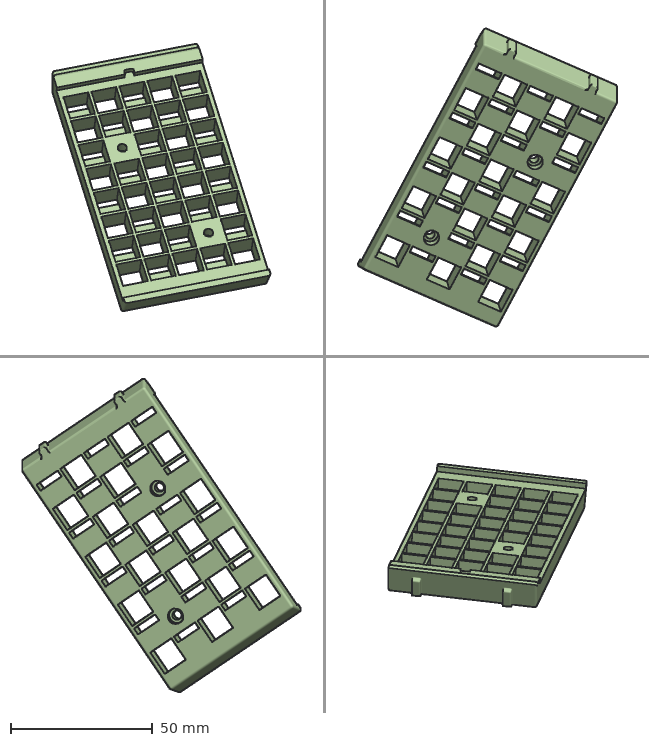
import cadquery as cq
import math

tilt = 15.0
width = 53.4
overall_length = 97.5
deck_height = 7.8
lip_height = 2.0
edge_radius = 1.0
front_lip_end = 4.2
rear_lip_thickness = 1.95

ridge_flat = 1.95
ridge_root_radius = 1.2
ridge_end_length = 2.4

notch_width = 3.5
notch_depth = 1.9
notch_radius = 0.8

columns = 8
rows = 5
column_span = 71.4
row_pitch = 10.2
cell = 9.1
first_cell = 11.9
floor_thickness = 1.0
slit = 2.4
screw_cells = [(2, 3), (6, 1)]

hole_diameter = 3.2
counterbore_diameter = 5.5
counterbore_depth = 3.4

hook_reach = 1.95
hook_width = 3.0
hook_spacing = 32.6
hook_drop = 2.9
hook_radius = 0.6
hook_root_radius = 0.3
hook_embed = 1.5

cos_tilt = math.cos(math.radians(tilt))
sin_tilt = math.sin(math.radians(tilt))
tan_tilt = math.tan(math.radians(tilt))
column_pitch = column_span / (columns - 1)
top_height = deck_height + lip_height
ridge_top = top_height / cos_tilt
ridge_height = ridge_flat * sin_tilt
root_angle = math.acos(1 - ridge_height / ridge_root_radius)
root_end = ridge_flat * cos_tilt - ridge_top * sin_tilt + ridge_root_radius * math.sin(root_angle)
hook_top = ridge_top - hook_drop
rear_tip = (overall_length - hook_reach - top_height * sin_tilt) / cos_tilt
rear_foot = rear_tip - top_height * tan_tilt
rear_lip_start = rear_tip - rear_lip_thickness - lip_height * tan_tilt


def on_slope(along, height):
    """XZ point given along the sloping underside and square to it."""
    return (along * cos_tilt + height * sin_tilt, height * cos_tilt - along * sin_tilt)


def tilted(shape):
    """Turn a shape built on a level underside into the slope of the tray."""
    return shape.rotate((0, 0, 0), (0, 1, 0), tilt)


def level_box(length, depth, along, across, bottom, top):
    """Box standing on the slope, centred on (along, across)."""
    box = cq.Workplane("XY").box(length, depth, top - bottom, centered=(True, True, False))
    return tilted(box.translate((along, across, bottom)))


def root_point(angle):
    """Point on the hollow behind the ridge, by angle from where it runs into the lip."""
    return on_slope(
        root_end - ridge_root_radius * math.sin(angle),
        top_height + ridge_root_radius * (1 - math.cos(angle)),
    )


def make_tray():
    outline = (
        cq.Workplane("XZ")
        .lineTo(0, ridge_top)
        .lineTo(ridge_flat, ridge_top)
        .threePointArc(root_point(root_angle / 2), root_point(0))
        .lineTo(*on_slope(front_lip_end, top_height))
        .lineTo(*on_slope(front_lip_end, deck_height))
        .lineTo(*on_slope(rear_lip_start, deck_height))
        .lineTo(*on_slope(rear_lip_start, top_height))
        .lineTo(*on_slope(rear_tip, top_height))
        .lineTo(*on_slope(rear_foot, 0))
        .close()
    )
    tray = outline.extrude(width / 2, both=True)

    middle_x, middle_z = on_slope(rear_foot / 2, 0)
    underside = tray.faces(cq.NearestToPointSelector((middle_x, 0, middle_z)))
    outer_edges = underside.edges()
    outer_edges = outer_edges.add(tray.edges("|Z and <X"))
    outer_edges = outer_edges.add(tray.faces("<Z").edges("not |Y"))
    return outer_edges.fillet(edge_radius)


def make_ridge_end_waste():
    """Material outside the rounded top edges at both ends of the ridge."""
    block = cq.Workplane("XY").box(
        ridge_end_length, width, ridge_top, centered=(False, True, False)
    )
    return block.cut(block.edges("|X and >Z").fillet(edge_radius))


def make_hook(middle):
    outline = [
        (-hook_reach, hook_reach * tan_tilt),
        (-hook_reach, hook_top),
        (hook_embed, hook_top),
        (hook_embed, -hook_embed * tan_tilt),
    ]
    sketch = cq.Workplane("XZ", origin=(0, middle, 0)).polyline(outline).close()
    hook = sketch.extrude(hook_width / 2, both=True)
    return hook.edges("<X or (|X and >Z)").fillet(hook_radius)


def add_hook(body, middle):
    body = body.union(make_hook(middle))
    root_zone = cq.selectors.BoxSelector(
        (-hook_root_radius, middle - hook_width, edge_radius),
        (hook_root_radius, middle + hook_width, hook_top + hook_root_radius),
    )
    return body.edges(root_zone).fillet(hook_root_radius)


def make_notch():
    length = 2 * notch_depth
    notch = cq.Workplane("XY").box(length, notch_width, lip_height, centered=(True, True, False))
    notch = notch.edges("|Z").fillet(notch_radius)
    return tilted(notch.translate((front_lip_end, 0, deck_height)))


def make_cell(column, row):
    along = first_cell + column * column_pitch
    across = ((rows - 1) / 2 - row) * row_pitch
    if (column, row) in screw_cells:
        hole = cq.Workplane("XY").circle(hole_diameter / 2).extrude(deck_height)
        hole = hole.union(cq.Workplane("XY").circle(counterbore_diameter / 2).extrude(counterbore_depth))
        return tilted(hole.translate((along, across, 0)))
    if (column + row) % 2 == 1:
        return level_box(cell, cell, along, across, 0, deck_height)
    pocket = level_box(cell, cell, along, across, floor_thickness, deck_height)
    return pocket.union(level_box(slit, cell, along - (cell - slit) / 2, across, 0, deck_height))


result = make_tray().cut(make_ridge_end_waste())

for side in (-1, 1):
    result = add_hook(result, side * hook_spacing / 2)

result = result.cut(make_notch())

for column in range(columns):
    for row in range(rows):
        result = result.cut(make_cell(column, row))